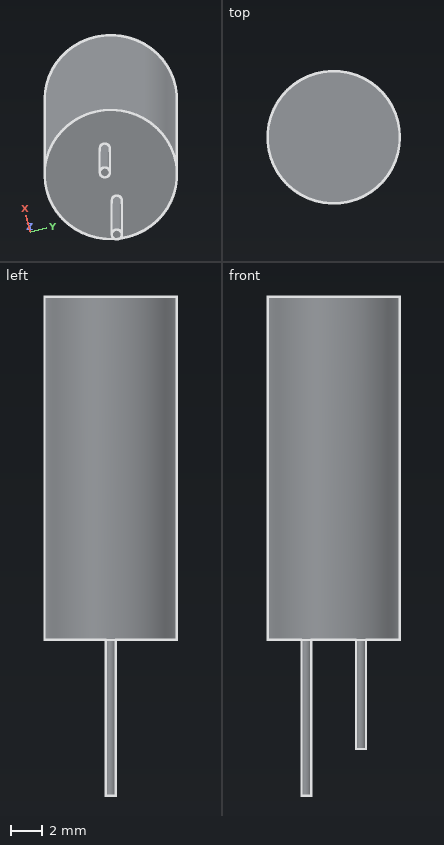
import cadquery as cq

can_diameter = 8.5
can_height = 22.0

lead_diameter = 0.65
lead_pitch = 3.5
long_lead_length = 10.0
short_lead_length = 7.0


def make_can():
    return cq.Workplane("XY").circle(can_diameter / 2).extrude(can_height)


def make_lead(x_position, length):
    """Round lead whose top end meets the underside of the can."""
    return cq.Workplane("XY").center(x_position, 0).circle(lead_diameter / 2).extrude(-length)


can = make_can()

lead_layout = [
    (-lead_pitch / 2, long_lead_length),
    (lead_pitch / 2, short_lead_length),
]
leads = [make_lead(x_position, length) for x_position, length in lead_layout]

result = cq.Compound.makeCompound([can.val(), *[lead.val() for lead in leads]])